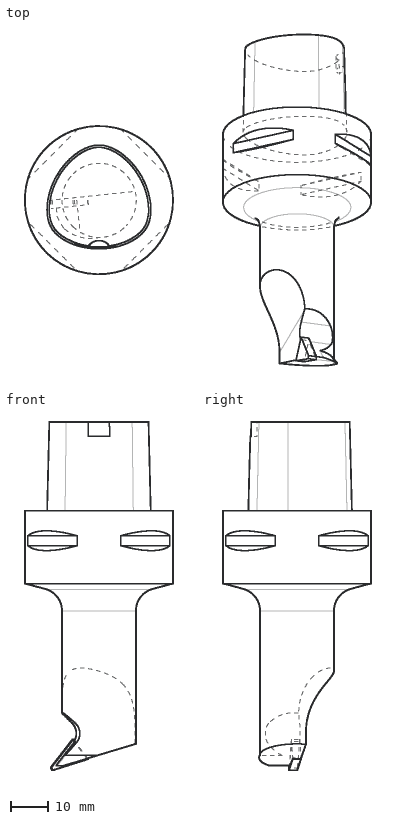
import cadquery as cq
import math


flange_diameter = 40.0
flange_height = 19.6
bar_diameter = 20.0
flange_radius = flange_diameter / 2
bar_radius = bar_diameter / 2
underside_angle = math.radians(15)
neck_radius = 6.0
total_length = 94
taper_height = 24.0
tip_z = taper_height - total_length

base_lobe_radius = 14.0
taper_slope = 1 / 40
top_lobe_radius = base_lobe_radius - taper_height * taper_slope
lobe_rise = 0.8
lobe_patches = 6
points_per_patch = 9
key_radius = 3.5
key_center_y = -14.4
key_depth = 3.95

slot_count = 4
slot_first_angle = 45
slot_floor_distance = 17.7
slot_floor_height = 2.6
slot_wall_angle = math.radians(30)
slot_z = -8.1

rake_angle = 6
rake_y = 1.4
clearance_radius = 15.4
clearance_tilt = 14
clearance_start = -55.5
flare_top_z = -65.9
flare_height = 2.8
flare_angle = math.radians(37)
holder_bottom_z = flare_top_z - flare_height
head_reach = 37.6
bottom_right_z = -62.9
bottom_angle = math.radians(16.7)
throat_radius = 3.95
throat_x = -10.0
throat_z = -60.1
throat_upper_angle = math.radians(45)
flank_angle = math.radians(52)

insert_thickness = 2.3
insert_heel = (-7.05, -61.7)
insert_nose_upper = (-13.0, -69.3)
insert_nose_lower = (-12.6, tip_z)
insert_bottom_width = 9.6
insert_bottom_angle = math.radians(17.5)
insert_toe = (
    insert_nose_lower[0] + insert_bottom_width,
    insert_nose_lower[1] + insert_bottom_width * math.tan(insert_bottom_angle),
)


def to_rake_frame(shape):
    """Turn a shape about Z so that its XZ plane follows the rake face."""
    return shape.rotate((0, 0, 0), (0, 0, 1), rake_angle)


def lobe_point(mean_radius, angle, z):
    """Point of a constant-width trilobe whose outward normal has the given angle."""
    phase = 3 * (angle - math.pi / 2)
    support = mean_radius + lobe_rise * math.cos(phase)
    support_rate = -3 * lobe_rise * math.sin(phase)
    x = support * math.cos(angle) - support_rate * math.sin(angle)
    y = support * math.sin(angle) + support_rate * math.cos(angle)
    return cq.Vector(x, y, z)


def lobe_wire(mean_radius, z):
    patch_span = 2 * math.pi / lobe_patches
    edges = []
    for patch in range(lobe_patches):
        start = patch * patch_span
        end = start + patch_span
        step = patch_span / (points_per_patch - 1)
        points = [lobe_point(mean_radius, start + i * step, z) for i in range(points_per_patch)]
        tangents = [cq.Vector(-math.sin(a), math.cos(a), 0) for a in (start, end)]
        edges.append(cq.Edge.makeSpline(points, tangents=tangents))
    return cq.Wire.assembleEdges(edges)


def make_taper():
    base = lobe_wire(base_lobe_radius, 0)
    top = lobe_wire(top_lobe_radius, taper_height)
    taper = cq.Workplane(cq.Solid.makeLoft([base, top], True))
    key = (
        cq.Workplane("XY", origin=(0, key_center_y, taper_height))
        .circle(key_radius)
        .extrude(-key_depth)
    )
    return taper.cut(key)


def make_flange_and_bar():
    """Revolved flange, sloped underside, tangent neck and straight bar."""
    arc_start_r = bar_radius + neck_radius * (1 - math.sin(underside_angle))
    arc_start_z = -flange_height - (flange_radius - arc_start_r) * math.tan(underside_angle)
    center_r = bar_radius + neck_radius
    center_z = arc_start_z - neck_radius * math.cos(underside_angle)
    middle_angle = (math.pi / 2 + underside_angle + math.pi) / 2
    arc_middle = (
        center_r + neck_radius * math.cos(middle_angle),
        center_z + neck_radius * math.sin(middle_angle),
    )
    return (
        cq.Workplane("XZ")
        .moveTo(0, 0)
        .lineTo(flange_radius, 0)
        .lineTo(flange_radius, -flange_height)
        .lineTo(arc_start_r, arc_start_z)
        .threePointArc(arc_middle, (bar_radius, center_z))
        .lineTo(bar_radius, holder_bottom_z)
        .lineTo(0, holder_bottom_z)
        .close()
        .revolve(360, (0, 0), (0, 1))
    )


def make_flare():
    """Cone that widens the end of the bar to support the insert."""
    flare_radius = bar_radius + flare_height * math.tan(flare_angle)
    return (
        cq.Workplane("XZ")
        .polyline([
            (0, flare_top_z),
            (bar_radius, flare_top_z),
            (flare_radius, holder_bottom_z),
            (0, holder_bottom_z),
        ])
        .close()
        .revolve(360, (0, 0), (0, 1))
    )


def make_slot(angle):
    """Flat-floored gripper slot with sloped upper and lower walls."""
    depth = flange_radius - slot_floor_distance
    floor_half = slot_floor_height / 2
    mouth_half = floor_half + depth * math.tan(slot_wall_angle)
    slot = (
        cq.Workplane("XZ")
        .polyline([
            (slot_floor_distance, slot_z - floor_half),
            (flange_radius, slot_z - mouth_half),
            (flange_radius, slot_z + mouth_half),
            (slot_floor_distance, slot_z + floor_half),
        ])
        .close()
        .extrude(flange_radius, both=True)
    )
    return slot.rotate((0, 0, 0), (0, 0, 1), angle)


def make_bottom_cut():
    """Everything below the sloped end face of the bar."""
    left_x = bar_radius - head_reach
    right_x = bar_radius + head_reach
    rise = head_reach * math.tan(bottom_angle)
    return (
        cq.Workplane("XZ")
        .moveTo(left_x, bottom_right_z - rise)
        .lineTo(right_x, bottom_right_z + rise)
        .lineTo(right_x, bottom_right_z - rise)
        .close()
        .extrude(head_reach, both=True)
    )


def make_throat_cut():
    """Chip throat: sloped roof, round bottom and the flank below it."""

    def arc_point(angle):
        return (
            throat_x + throat_radius * math.cos(angle),
            throat_z + throat_radius * math.sin(angle),
        )

    roof_end = arc_point(throat_upper_angle)
    arc_end_angle = flank_angle - math.pi / 2
    flank_start = arc_point(arc_end_angle)
    arc_middle = arc_point((throat_upper_angle + arc_end_angle) / 2)
    throat = (
        cq.Workplane("XZ")
        .moveTo(roof_end[0] - head_reach, roof_end[1] + head_reach * math.tan(throat_upper_angle))
        .lineTo(*roof_end)
        .threePointArc(arc_middle, flank_start)
        .lineTo(flank_start[0] - head_reach, flank_start[1] - head_reach * math.tan(flank_angle))
        .close()
        .extrude(head_reach, both=True)
    )
    return to_rake_frame(throat)


def make_clearance_cut():
    """Cut above the rake face: a flat with a round run-out, tilted across the bar."""
    outer_y = rake_y + clearance_radius
    center = (outer_y, clearance_start)
    arc_middle = (
        center[0] - clearance_radius * math.cos(math.pi / 4),
        center[1] + clearance_radius * math.sin(math.pi / 4),
    )
    clearance = (
        cq.Workplane("YZ")
        .moveTo(rake_y, clearance_start - head_reach)
        .lineTo(rake_y, clearance_start)
        .threePointArc(arc_middle, (outer_y, clearance_start + clearance_radius))
        .lineTo(outer_y, clearance_start - head_reach)
        .close()
        .extrude(head_reach, both=True)
        .rotate((0, 0, 0), (0, 1, 0), clearance_tilt)
    )
    return to_rake_frame(clearance)


def make_insert():
    """Triangular insert with a blunted nose, flush with the rake face."""
    blank = (
        cq.Workplane("XZ", origin=(0, rake_y, 0))
        .polyline([insert_heel, insert_nose_upper, insert_nose_lower, insert_toe])
        .close()
        .extrude(insert_thickness)
    )
    return to_rake_frame(blank)


def make_holder(insert):
    holder = make_flange_and_bar().union(make_flare())
    for cut in (make_bottom_cut(), make_throat_cut(), make_clearance_cut(), insert):
        holder = holder.cut(cut)
    for index in range(slot_count):
        holder = holder.cut(make_slot(slot_first_angle + index * 360 / slot_count))
    return holder.union(make_taper())


insert = make_insert()
holder = make_holder(insert)

result = cq.Compound.makeCompound([holder.solids().val(), insert.val()])